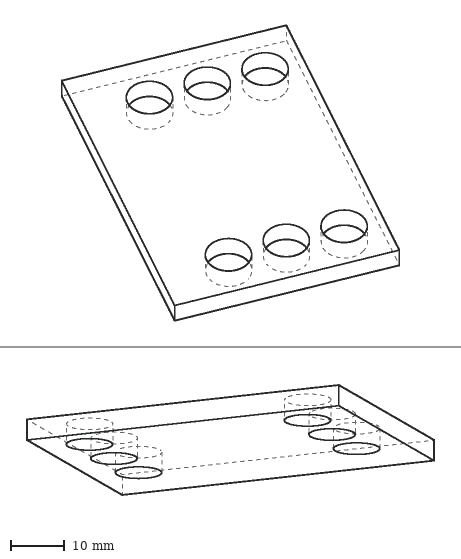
import cadquery as cq

length = 63.5
width = 44.45
thickness = 4.0

hole_diameter = 8.65
column_spacing = 44.4
column_offset = 0.1
row_pitch = 11.4
middle_row_y = 3.2
rows_per_column = 3


def hole_centres():
    """Centres of the holes, measured from the middle of the plate."""
    centres = []
    for side in (-1, 1):
        x = column_offset + side * column_spacing / 2
        for row in range(rows_per_column):
            y = middle_row_y + (row - (rows_per_column - 1) / 2) * row_pitch
            centres.append((x, y))
    return centres


plate = cq.Workplane("XY").box(length, width, thickness)
result = plate.faces(">Z").workplane().pushPoints(hole_centres()).hole(hole_diameter)